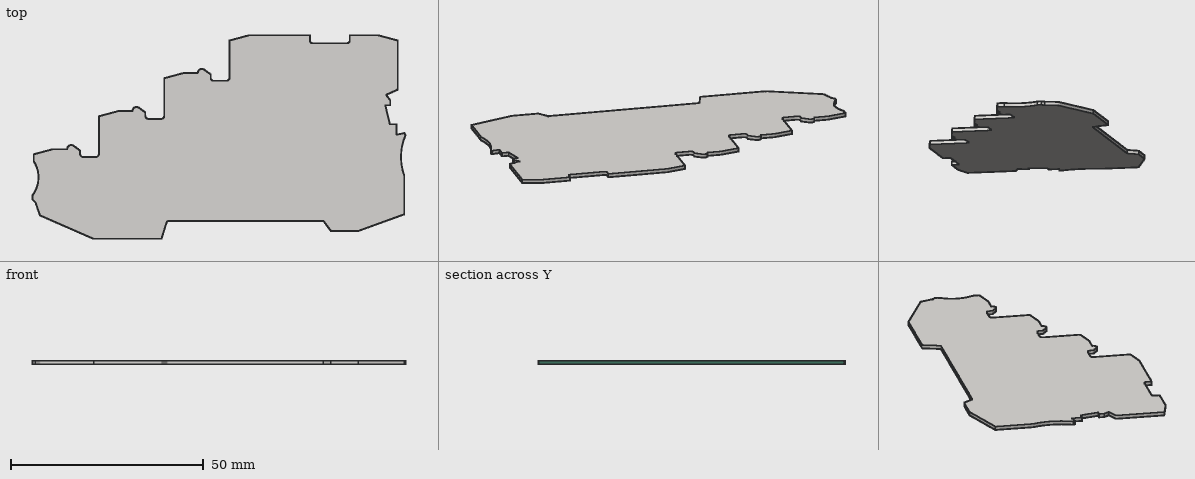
import cadquery as cq
import math

length = 96.7
height = 52.8
thickness = 1.0

upper_left_x = 0.3
shelf_count = 3
step_run = 16.9
step_rise = 9.9
top_step_rise = 9.8
ramp_run = 5.0
ramp_drop = 1.4
recess_depth = 2.0
recess_start = 12.1
recess_radius = 0.8

bump_centre = 9.8
bump_radius = 1.1
bump_slope_angle = 36.0
bump_arc_middle_angle = 120.0
bump_corner_radius = 0.3

top_left_x = upper_left_x + shelf_count * step_run
top_right_x = 94.6
notch_left_x = 71.9
notch_right_x = 82.2
notch_radius = 0.6

overhang_y = 38.7
overhang_radius = 0.4
catch_root = (91.6, 37.3)
catch_x = 92.7
catch_top_y = 36.0
catch_bottom_y = 34.6
slot_root_x = 91.45
ledge_y = 29.8
ledge_left_x = 92.6
ledge_right_x = 94.35
lip_root_y = 27.1
lip_top = (96.4, 27.5)
lip_tip_y = 26.9

right_x = 96.4
right_hollow_bottom_y = 16.3
right_hollow_middle = (95.5, 20.9)
right_corner_y = 6.4
right_foot_y = 2.0
right_foot_left_x = 77.3
right_foot_right_x = 84.4

rail_y = 4.6
rail_left_x = 34.9
rail_right_x = 75.4
rail_radius = 0.6
left_foot_left_x = 15.9
left_foot_right_x = 33.4
left_foot_radius = 0.3

left_corner = (1.9, 6.1)
left_corner_radius = 0.8
nose_bottom = (0.8, 9.5)
nose_y = 10.2
left_hollow_bottom_y = 11.3
left_hollow_middle = (1.5, 15.7)
left_hollow_top_y = 20.2


def shelf_origin(index):
    """Left end of a shelf, at the height of its flat top."""
    top_shelf_y = height - top_step_rise
    steps_below_top_shelf = shelf_count - 1 - index
    return upper_left_x + index * step_run, top_shelf_y - steps_below_top_shelf * step_rise


def add_shelf(outline, index):
    """Continue the outline over one shelf: ramp, flat, latch bump, recess."""
    x, y = shelf_origin(index)
    tangent_angle = math.radians(90 - bump_slope_angle)
    middle_angle = math.radians(bump_arc_middle_angle)
    slope_x = bump_centre + bump_radius * math.cos(tangent_angle)
    slope_y = bump_radius * math.sin(tangent_angle)
    slope_drop = (recess_start - slope_x) * math.tan(math.radians(bump_slope_angle))
    bump_middle = (
        x + bump_centre + bump_radius * math.cos(middle_angle),
        y + bump_radius * math.sin(middle_angle),
    )
    return (
        outline.lineTo(x, y - ramp_drop)
        .lineTo(x + ramp_run, y)
        .lineTo(x + bump_centre - bump_radius, y)
        .threePointArc(bump_middle, (x + slope_x, y + slope_y))
        .lineTo(x + recess_start, y + slope_y - slope_drop)
        .lineTo(x + recess_start, y - recess_depth)
        .lineTo(x + step_run, y - recess_depth)
    )


def add_top(outline):
    """Continue the outline over the top level and its notch."""
    return (
        outline.lineTo(top_left_x, height - ramp_drop)
        .lineTo(top_left_x + ramp_run, height)
        .lineTo(notch_left_x, height)
        .lineTo(notch_left_x, height - recess_depth)
        .lineTo(notch_right_x, height - recess_depth)
        .lineTo(notch_right_x, height)
        .lineTo(top_right_x - ramp_run, height)
        .lineTo(top_right_x, height - ramp_drop)
    )


def add_right_edge(outline):
    """Continue the outline down the catch, the lip and the finger hollow."""
    return (
        outline.lineTo(top_right_x, overhang_y)
        .lineTo(*catch_root)
        .lineTo(catch_x, catch_top_y)
        .lineTo(catch_x, catch_bottom_y)
        .lineTo(slot_root_x, catch_bottom_y)
        .lineTo(ledge_left_x, ledge_y)
        .lineTo(ledge_right_x, ledge_y)
        .lineTo(ledge_right_x, lip_root_y)
        .lineTo(*lip_top)
        .lineTo(length, lip_tip_y)
        .threePointArc(right_hollow_middle, (right_x, right_hollow_bottom_y))
        .lineTo(right_x, right_corner_y)
    )


def add_bottom(outline):
    """Continue the outline along both feet and the rail recess between them."""
    return (
        outline.lineTo(right_foot_right_x, right_foot_y)
        .lineTo(right_foot_left_x, right_foot_y)
        .lineTo(rail_right_x, rail_y)
        .lineTo(rail_left_x, rail_y)
        .lineTo(left_foot_right_x, 0)
        .lineTo(left_foot_left_x, 0)
    )


def add_left_edge(outline):
    """Close the outline up the nose and the left finger hollow."""
    return (
        outline.lineTo(*left_corner)
        .lineTo(*nose_bottom)
        .lineTo(0, nose_y)
        .lineTo(0, left_hollow_bottom_y)
        .threePointArc(left_hollow_middle, (upper_left_x, left_hollow_top_y))
        .close()
    )


def round_corner(body, x, y, radius):
    """Fillet the upright edge nearest to (x, y)."""
    nearest = cq.selectors.NearestToPointSelector((x, y, thickness / 2))
    return body.edges("|Z").edges(nearest).fillet(radius)


outline = cq.Workplane("XY").moveTo(upper_left_x, left_hollow_top_y)
for shelf in range(shelf_count):
    outline = add_shelf(outline, shelf)
outline = add_top(outline)
outline = add_right_edge(outline)
outline = add_bottom(outline)
outline = add_left_edge(outline)
plate = outline.extrude(thickness)

for shelf in range(shelf_count):
    shelf_x, shelf_y = shelf_origin(shelf)
    floor_y = shelf_y - recess_depth
    plate = round_corner(plate, shelf_x + recess_start, floor_y, recess_radius)
    plate = round_corner(plate, shelf_x + step_run, floor_y, recess_radius)
    plate = round_corner(plate, shelf_x + recess_start, shelf_y, bump_corner_radius)

for notch_x in (notch_left_x, notch_right_x):
    plate = round_corner(plate, notch_x, height - recess_depth, notch_radius)
plate = round_corner(plate, top_right_x, overhang_y, overhang_radius)
plate = round_corner(plate, rail_left_x, rail_y, rail_radius)
plate = round_corner(plate, left_foot_right_x, 0, left_foot_radius)
plate = round_corner(plate, *left_corner, left_corner_radius)

result = plate